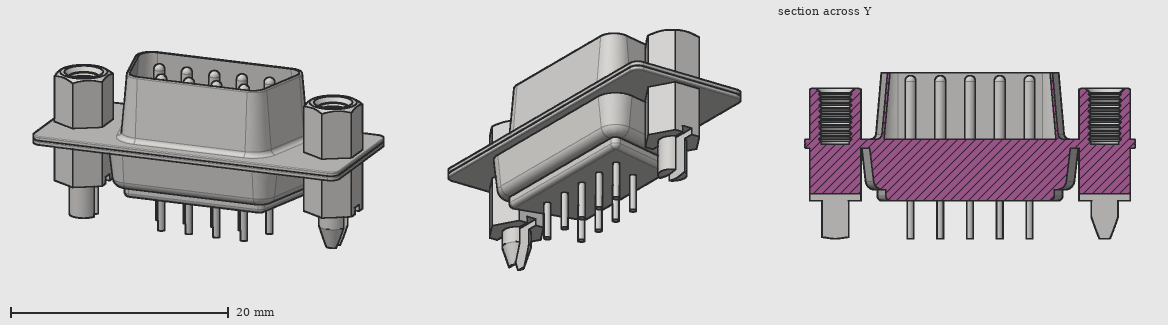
import cadquery as cq
import math


flange_length = 30.37
flange_width = 12.33
flange_corner_radius = 0.9
plate_thickness = 0.43
plate_edge_radius = 0.1

side_angle = 13.3
shroud_mean_half_length = 6.05
shroud_half_height = 2.52
body_mean_half_length = 7.2
body_half_height = 3.28

shroud_top_z = 6.53
shroud_top_radius = 1.52
shroud_draft_angle = 5.0
shroud_wall = 0.27
shroud_rim_radius = 0.1
shroud_root_radius = 0.5

body_bottom_z = -4.25
body_root_radius = 2.03
body_draft_angle = 6.6
body_edge_radius = 0.9
insert_bottom_z = -5.25
insert_radius = 0.55
insert_edge_radius = 0.45

pin_pitch = 2.73
pin_row_spacing = 2.85
pin_counts = {1: 5, -1: 4}
pin_tip_z = 6.25
pin_radius = 1.0 / 2
tail_radius = 0.65 / 2
bottom_z = -8.75

standoff_spacing = 24.75
hex_across_flats = 4.75
hex_top_z = 5.1
hex_bottom_z = insert_bottom_z
hex_chamfer_radius = 4.35 / 2
hex_chamfer_angle = 30.0
bore_radius = 1.28
countersink_radius = 3.55 / 2
thread_pitch = 0.52
thread_depth = 0.2
ring_half_height = 0.4 * thread_pitch
thread_turns = 9
first_ring_drop = 0.05

post_radius = 1.35
slot_width = 1.0
slot_depth_in_hex = 0.65
slot_top_z = hex_bottom_z + slot_depth_in_hex
left_post_tip_height = 0.15
left_post_edge_z = bottom_z + left_post_tip_height
left_post_tip_radius = slot_width / 2
right_post_edge_z = -6.75
right_post_tip_radius = 0.7


def d_outline(mean_half_length, half_height, radius, z):
    """Closed wire of a rounded D, wide side at +Y."""
    lean = half_height * math.tan(math.radians(side_angle))
    wide = mean_half_length + lean
    narrow = mean_half_length - lean
    corners = [
        (-wide, half_height),
        (wide, half_height),
        (narrow, -half_height),
        (-narrow, -half_height),
    ]
    return cq.Workplane("XY", origin=(0, 0, z)).polyline(corners).close().offset2D(radius).val()


def d_block(mean_half_length, half_height, lower, upper):
    """Solid between two D outlines, each given as (z, corner radius)."""
    wires = [d_outline(mean_half_length, half_height, radius, z) for z, radius in (lower, upper)]
    return cq.Workplane(cq.Solid.makeLoft(wires, True))


def revolved(profile, x):
    """Solid of revolution about the vertical line at x; profile holds (radius, z) points."""
    return (
        cq.Workplane("XZ", origin=(x, 0, 0))
        .polyline(profile)
        .close()
        .revolve(360, (0, 0), (0, 1))
    )


def flange_plate(bottom):
    return (
        cq.Workplane("XY", origin=(0, 0, bottom))
        .rect(flange_length, flange_width)
        .extrude(plate_thickness)
        .edges("|Z")
        .fillet(flange_corner_radius)
        .faces("<Z or >Z")
        .edges()
        .fillet(plate_edge_radius)
    )


def shroud_radius(z):
    return shroud_top_radius + (shroud_top_z - z) * math.tan(math.radians(shroud_draft_angle))


def shroud_block(inset):
    return d_block(
        shroud_mean_half_length,
        shroud_half_height,
        (plate_thickness, shroud_radius(plate_thickness) - inset),
        (shroud_top_z, shroud_top_radius - inset),
    )


def upper_shell():
    """Upper flange plate with the shroud, hollow down to the plate."""
    outer = shroud_block(0).faces(">Z").edges().fillet(shroud_rim_radius)
    shell = flange_plate(0).union(outer)
    reach_x = flange_length / 2 - flange_corner_radius
    reach_y = flange_width / 2 - flange_corner_radius
    root = cq.selectors.BoxSelector(
        (-reach_x, -reach_y, plate_thickness - plate_edge_radius),
        (reach_x, reach_y, plate_thickness + plate_edge_radius),
    )
    return shell.edges(root).fillet(shroud_root_radius).cut(shroud_block(shroud_wall))


def lower_body():
    """Lower flange plate with the tapered body and the insert."""
    body_shrink = -body_bottom_z * math.tan(math.radians(body_draft_angle))
    body = d_block(
        body_mean_half_length,
        body_half_height,
        (body_bottom_z, body_root_radius - body_shrink),
        (0, body_root_radius),
    )
    body = body.faces("<Z").edges().fillet(body_edge_radius)
    insert = d_block(
        body_mean_half_length,
        body_half_height,
        (insert_bottom_z, insert_radius),
        (0, insert_radius),
    )
    insert = insert.faces("<Z").edges().fillet(insert_edge_radius)
    return flange_plate(-plate_thickness).union(body).union(insert)


def contact_pin(x, y):
    """Round-tipped pin above the insert with a thinner tail below."""
    tail = cq.Workplane("XY", origin=(x, y, bottom_z)).circle(tail_radius).extrude(-bottom_z)
    pin = (
        cq.Workplane("XY", origin=(x, y, 0))
        .circle(pin_radius)
        .extrude(pin_tip_z - pin_radius)
    )
    tip = cq.Workplane("XY", origin=(x, y, pin_tip_z - pin_radius)).sphere(pin_radius)
    return tail.union(pin).union(tip)


def threaded_bore(x):
    """Blind hole with V-shaped thread rings, the first one breaking into the countersink."""
    countersink_depth = countersink_radius - bore_radius
    countersink_floor_z = hex_top_z - countersink_depth
    countersink = revolved(
        [
            (0, hex_top_z),
            (countersink_radius, hex_top_z),
            (bore_radius, countersink_floor_z),
            (0, countersink_floor_z),
        ],
        x,
    )
    profile = [(0, hex_top_z), (bore_radius, hex_top_z)]
    for turn in range(thread_turns):
        ring_z = countersink_floor_z - first_ring_drop - turn * thread_pitch
        profile += [
            (bore_radius, ring_z + ring_half_height),
            (bore_radius + thread_depth, ring_z),
            (bore_radius, ring_z - ring_half_height),
        ]
    bore_floor_z = countersink_floor_z - thread_turns * thread_pitch
    profile += [(bore_radius, bore_floor_z), (0, bore_floor_z)]
    return countersink.union(revolved(profile, x))


def standoff(x, post_edge_z, post_tip_radius):
    """Chamfered hexagon, corners at +Y and -Y, on a slotted post with a tapered end."""
    corner_radius = hex_across_flats / math.sqrt(3)
    corner_drop = (corner_radius - hex_chamfer_radius) * math.tan(math.radians(hex_chamfer_angle))
    hexagon = (
        cq.Workplane("XY", origin=(x, 0, hex_bottom_z))
        .transformed(rotate=(0, 0, 90))
        .polygon(6, 2 * corner_radius)
        .extrude(hex_top_z - hex_bottom_z)
    )
    chamfer_envelope = revolved(
        [
            (0, hex_bottom_z),
            (corner_radius, hex_bottom_z),
            (corner_radius, hex_top_z - corner_drop),
            (hex_chamfer_radius, hex_top_z),
            (0, hex_top_z),
        ],
        x,
    )
    post = revolved(
        [
            (0, hex_bottom_z),
            (post_radius, hex_bottom_z),
            (post_radius, post_edge_z),
            (post_tip_radius, bottom_z),
            (0, bottom_z),
        ],
        x,
    )
    slot = cq.Workplane("XY", origin=(x, 0, bottom_z)).box(
        2 * corner_radius, slot_width, slot_top_z - bottom_z, centered=(True, True, False)
    )
    return hexagon.intersect(chamfer_envelope).union(post).cut(slot)


result = upper_shell().union(lower_body())

for side, count in pin_counts.items():
    for index in range(count):
        pin_x = (index - (count - 1) / 2) * pin_pitch
        result = result.union(contact_pin(pin_x, side * pin_row_spacing / 2))

standoff_x = standoff_spacing / 2
result = result.union(standoff(-standoff_x, left_post_edge_z, left_post_tip_radius))
result = result.union(standoff(standoff_x, right_post_edge_z, right_post_tip_radius))
for x in (-standoff_x, standoff_x):
    result = result.cut(threaded_bore(x))